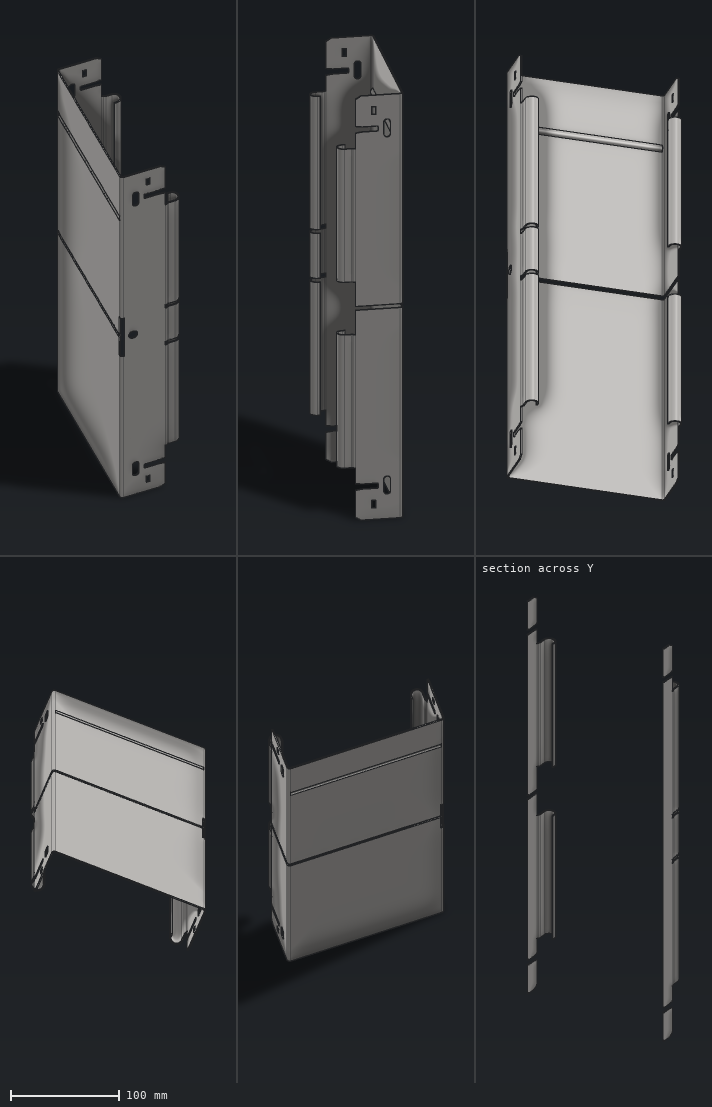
import cadquery as cq
import math

LENGTH = 420.0
WIDTH = 154.0
DEPTH = 61.5
SHEET = 1.3
BEND_RADIUS = 3.0

WALL_TOP = 45.0
BREAK_WIDTH = 3.8
CORNER_CUT_Y = 5.0
CORNER_CUT_Z = 3.0

CURL_RADIUS = 6.5
CURL_TIP_Y = 52.5
JOG = SHEET
JOG_INSIDE_RADIUS = 2.5
LIP_OUTER_END = 158.0
LIP_INNER_END = 26.0
BRIDGE_LIP_HALF = 22.3

SLOT_FROM_END = 33.0
SLOT_WIDTH = 5.0
SLOT_MOUTH_WIDTH = 6.7
SLOT_MOUTH_DEPTH = 6.5
SLOT_BOTTOM_Y = 23.5
SLOT_CORNER_RADIUS = 1.3
OBROUND_Y = 15.0
OBROUND_WIDTH = 6.5
OBROUND_LENGTH = 17.5
WINDOW_FROM_END = 15.0
WINDOW_Y = 27.7
WINDOW_WIDTH = 3.8
WINDOW_LENGTH = 7.5

BRIDGE_NOTCH_HALF = 24.8
BRIDGE_NOTCH_SIZE = 3.8
BRIDGE_HOLE_DIAMETER = 9.0
BRIDGE_HOLE_Y = 12.5

BEAD_TOP_Z = LIP_OUTER_END
BEAD_WIDTH = 6.0
BEAD_DEPTH = 2.0

HALF_LENGTH = LENGTH / 2
HALF_WIDTH = WIDTH / 2


def box(x_range, y_range, z_range):
    """Box spanning the given (low, high) range along each axis."""
    lows, highs = zip(x_range, y_range, z_range)
    sizes = [high - low for low, high in zip(lows, highs)]
    return cq.Workplane("XY").box(*sizes, centered=False).translate(lows)


def side_plane():
    """Sketch plane whose local axes are the part's Y and Z, centred on X = 0."""
    return cq.Workplane("YZ")


def through_walls(sketch):
    """Cutter that passes through both side walls."""
    return sketch.extrude(HALF_WIDTH, both=True)


def channel():
    """Full-length U channel with rounded bends."""
    outer = box((-HALF_WIDTH, HALF_WIDTH), (0, WALL_TOP), (-HALF_LENGTH, HALF_LENGTH))
    outer = outer.faces("<Y").edges("|Z").fillet(BEND_RADIUS)
    inner_half = HALF_WIDTH - SHEET
    inner = box((-inner_half, inner_half), (SHEET, WALL_TOP), (-HALF_LENGTH, HALF_LENGTH))
    inner = inner.faces("<Y").edges("|Z").fillet(BEND_RADIUS - SHEET)
    return outer.cut(inner)


def corner_cut():
    """Wedge at the free upper corner of the side walls."""
    sketch = side_plane().polyline([
        (WALL_TOP, HALF_LENGTH),
        (WALL_TOP - CORNER_CUT_Y, HALF_LENGTH),
        (WALL_TOP, HALF_LENGTH - CORNER_CUT_Z),
    ]).close()
    return through_walls(sketch)


def edge_slot():
    """Slot from the free edge inward, widened at its mouth."""
    z = HALF_LENGTH - SLOT_FROM_END
    half = SLOT_WIDTH / 2
    mouth_half = SLOT_MOUTH_WIDTH / 2
    throat_y = WALL_TOP - SLOT_MOUTH_DEPTH
    sketch = side_plane().polyline([
        (WALL_TOP, z + mouth_half),
        (throat_y, z + half),
        (SLOT_BOTTOM_Y, z + half),
        (SLOT_BOTTOM_Y, z - half),
        (throat_y, z - half),
        (WALL_TOP, z - mouth_half),
    ]).close()
    return through_walls(sketch).faces("<Y").edges("|X").fillet(SLOT_CORNER_RADIUS)


def obround():
    """Round-ended opening beside the edge slot."""
    sketch = side_plane().center(OBROUND_Y, HALF_LENGTH - SLOT_FROM_END)
    return through_walls(sketch.slot2D(OBROUND_LENGTH, OBROUND_WIDTH, 90))


def window():
    """Small rectangular opening next to the channel end."""
    sketch = side_plane().center(WINDOW_Y, HALF_LENGTH - WINDOW_FROM_END)
    return through_walls(sketch.rect(WINDOW_WIDTH, WINDOW_LENGTH))


def jog_arc(start, radius, angle, leaves_wall):
    """Middle and end of one bend of the jog, which runs towards +Y and -X.

    A bend that leaves the wall starts along Y; the other one ends along Y.
    """
    x, y = start
    run = radius * math.sin(angle)
    shift = radius * (1 - math.cos(angle))
    half_run = radius * math.sin(angle / 2)
    half_shift = radius * (1 - math.cos(angle / 2))
    if leaves_wall:
        middle = (x - half_shift, y + half_run)
    else:
        middle = (x - shift + half_shift, y + run - half_run)
    return middle, (x - shift, y + run)


def lip(z_low, z_high):
    """Lip on the +X wall: an S-shaped jog followed by an inward curl."""
    wall_outer = (HALF_WIDTH, WALL_TOP)
    wall_inner = (HALF_WIDTH - SHEET, WALL_TOP)
    curl_outer_x = HALF_WIDTH - JOG
    centre_x = curl_outer_x - CURL_RADIUS
    centre_y = DEPTH - CURL_RADIUS
    inside_radius = CURL_RADIUS - SHEET

    jog_outside_radius = JOG_INSIDE_RADIUS + SHEET
    jog_angle = math.acos(1 - JOG / (JOG_INSIDE_RADIUS + jog_outside_radius))
    outer_wall_bend_mid, outer_jog_mid = jog_arc(wall_outer, jog_outside_radius, jog_angle, True)
    outer_curl_bend_mid, outer_curl_bend_end = jog_arc(outer_jog_mid, JOG_INSIDE_RADIUS, jog_angle, False)
    inner_wall_bend_mid, inner_jog_mid = jog_arc(wall_inner, JOG_INSIDE_RADIUS, jog_angle, True)
    inner_curl_bend_mid, inner_curl_bend_end = jog_arc(inner_jog_mid, jog_outside_radius, jog_angle, False)

    return (
        cq.Workplane("XY", origin=(0, 0, z_low))
        .moveTo(*wall_outer)
        .threePointArc(outer_wall_bend_mid, outer_jog_mid)
        .threePointArc(outer_curl_bend_mid, outer_curl_bend_end)
        .lineTo(curl_outer_x, centre_y)
        .threePointArc((centre_x, DEPTH), (centre_x - CURL_RADIUS, centre_y))
        .lineTo(centre_x - CURL_RADIUS, CURL_TIP_Y)
        .lineTo(centre_x - inside_radius, CURL_TIP_Y)
        .lineTo(centre_x - inside_radius, centre_y)
        .threePointArc((centre_x, centre_y + inside_radius), (centre_x + inside_radius, centre_y))
        .lineTo(*inner_curl_bend_end)
        .threePointArc(inner_curl_bend_mid, inner_jog_mid)
        .threePointArc(inner_wall_bend_mid, wall_inner)
        .close()
        .extrude(z_high - z_low)
    )


def bead_section(offset):
    """Circular segment of the bead between the bends, grown outward by the offset."""
    z = BEAD_TOP_Z - BEAD_WIDTH / 2
    hollow_radius = (BEAD_WIDTH ** 2 / 4 + BEAD_DEPTH ** 2) / (2 * BEAD_DEPTH)
    centre_y = BEAD_DEPTH - hollow_radius
    half_chord = math.sqrt((hollow_radius + offset) ** 2 - centre_y ** 2)
    return (
        side_plane()
        .moveTo(0, z + half_chord)
        .threePointArc((BEAD_DEPTH + offset, z), (0, z - half_chord))
        .close()
        .extrude(HALF_WIDTH - BEND_RADIUS, both=True)
    )


body = channel()
for make_cutter in (corner_cut, edge_slot, obround, window):
    cutter = make_cutter()
    body = body.cut(cutter).cut(cutter.mirror("XY"))

body = body.union(bead_section(SHEET)).cut(bead_section(0))

break_half = BREAK_WIDTH / 2
body = body.cut(box(
    (-HALF_WIDTH, HALF_WIDTH - SHEET), (0, WALL_TOP), (-break_half, break_half)
))

notch_start_x = HALF_WIDTH - BRIDGE_NOTCH_SIZE
body = body.cut(box(
    (notch_start_x, HALF_WIDTH), (0, BRIDGE_NOTCH_SIZE), (-BRIDGE_NOTCH_HALF, BRIDGE_NOTCH_HALF)
))
bridge_hole = side_plane().center(BRIDGE_HOLE_Y, 0).circle(BRIDGE_HOLE_DIAMETER / 2).extrude(HALF_WIDTH)
body = body.cut(bridge_hole)

upper_lip = lip(LIP_INNER_END, LIP_OUTER_END)
for wall_lip in (upper_lip, upper_lip.mirror("YZ")):
    body = body.union(wall_lip).union(wall_lip.mirror("XY"))
body = body.union(lip(-BRIDGE_LIP_HALF, BRIDGE_LIP_HALF))

result = body